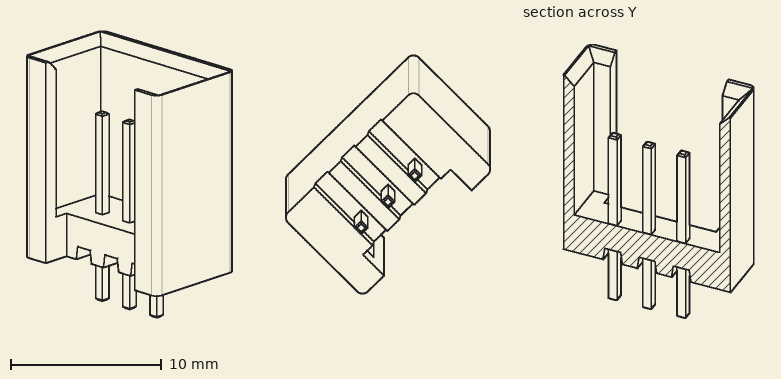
import cadquery as cq


WIDTH = 12.2
DEPTH = 7.5
TOTAL_HEIGHT = 17.1
PIN_TAIL = 3.1
HOUSING_HEIGHT = TOTAL_HEIGHT - PIN_TAIL
CORNER_RADIUS = 0.5

SIDE_WALL = 0.8
END_WALL = 1.0
FLOOR_HEIGHT = 3.01
MOUTH_CHAMFER = 0.7

SLOT_WIDTH = 8.15
SLOT_DEPTH = 1.98

PIN_COUNT = 3
PIN_PITCH = 2.5
PIN_SIZE = 0.63
PIN_TOP = 10.0
PIN_CHAMFER = 0.12

NOTCH_HEIGHT = 0.92
NOTCH_TOP_WIDTH = 1.13
NOTCH_BOTTOM_WIDTH = 1.39

PIN_POSITIONS = [(i - (PIN_COUNT - 1) / 2) * PIN_PITCH for i in range(PIN_COUNT)]


def make_shell():
    """Rounded block with an open-topped cavity that is chamfered at its mouth."""
    block = (
        cq.Workplane("XY")
        .rect(WIDTH, DEPTH)
        .extrude(HOUSING_HEIGHT)
        .edges("|Z")
        .fillet(CORNER_RADIUS)
    )
    cavity_width = WIDTH - 2 * SIDE_WALL
    cavity_depth = DEPTH - 2 * END_WALL
    cavity = (
        cq.Workplane("XY", origin=(0, 0, FLOOR_HEIGHT))
        .rect(cavity_width, cavity_depth)
        .extrude(HOUSING_HEIGHT - FLOOR_HEIGHT)
    )
    mouth = (
        cq.Workplane("XY", origin=(0, 0, HOUSING_HEIGHT - MOUTH_CHAMFER))
        .rect(cavity_width, cavity_depth)
        .workplane(offset=MOUTH_CHAMFER)
        .rect(cavity_width + 2 * MOUTH_CHAMFER, cavity_depth + 2 * MOUTH_CHAMFER)
        .loft(ruled=True)
    )
    return block.cut(cavity).cut(mouth)


def make_front_slot():
    """Full-height opening through the front wall and into the floor."""
    return (
        cq.Workplane("XY", origin=(0, (SLOT_DEPTH - DEPTH) / 2, 0))
        .rect(SLOT_WIDTH, SLOT_DEPTH)
        .extrude(HOUSING_HEIGHT)
    )


def make_notch(x):
    """Trapezoidal channel running front to back under a pin."""
    return (
        cq.Workplane("XZ")
        .polyline([
            (x - NOTCH_BOTTOM_WIDTH / 2, 0),
            (x + NOTCH_BOTTOM_WIDTH / 2, 0),
            (x + NOTCH_TOP_WIDTH / 2, NOTCH_HEIGHT),
            (x - NOTCH_TOP_WIDTH / 2, NOTCH_HEIGHT),
        ])
        .close()
        .extrude(DEPTH / 2, both=True)
    )


def make_pin(x):
    """Square pin chamfered at both ends."""
    return (
        cq.Workplane("XY", origin=(x, 0, -PIN_TAIL))
        .rect(PIN_SIZE, PIN_SIZE)
        .extrude(PIN_TAIL + PIN_TOP)
        .faces("<Z or >Z")
        .chamfer(PIN_CHAMFER)
    )


result = make_shell().cut(make_front_slot())
for pin_x in PIN_POSITIONS:
    result = result.cut(make_notch(pin_x))
for pin_x in PIN_POSITIONS:
    result = result.union(make_pin(pin_x))